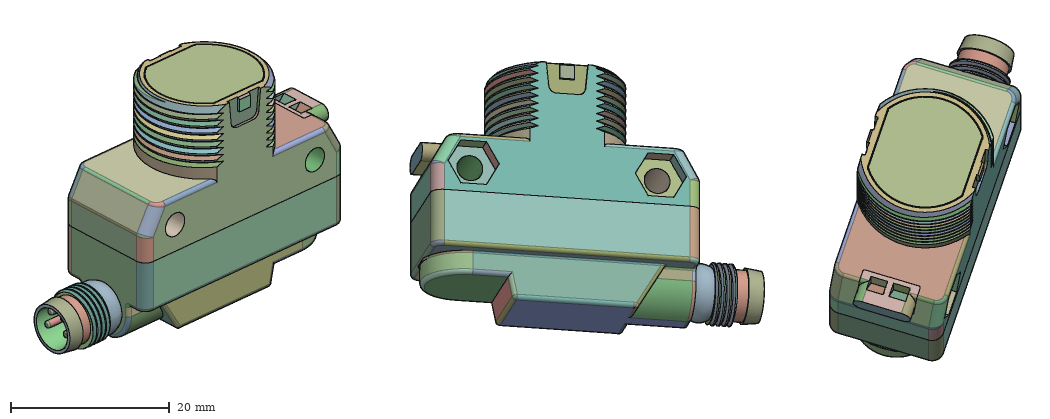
import cadquery as cq
WIDTH = 15.0
LENGTH = 34.57
ROOF_Z = 20.9
SPLIT_Z = 13.2
LOWER_EDGE_Z = 5.9
SLOPE_START_Z = 17.05
SLOPE_RUN = 2.1
SLOPE_BLEND = 0.65
CORNER_RADIUS = 1.5
ROOF_EDGE_RADIUS = 0.55
LOWER_EDGE_RADIUS = 0.55
HALF_LENGTH = LENGTH / 2

TOP_Z = 31.1
BARREL_RADIUS = 8.9
BARREL_CHAMFER = 0.75
BARREL_THREAD_DEPTH = 0.55
BARREL_THREAD_START_Z = 22.1
BARREL_THREAD_TURNS = 9
BARREL_PITCH = (TOP_Z - BARREL_THREAD_START_Z) / BARREL_THREAD_TURNS

KEY_DEPTH = 0.4
KEY_HEIGHT = 4.05
KEY_TOP_HALF_WIDTH = 2.7
KEY_BOTTOM_HALF_WIDTH = 2.3
KEY_CORNER_RADIUS = 1.0
TAB_WIDTH = 1.85
TAB_HEIGHT = 2.05
TAB_CHAMFER = 0.25

HOLE_SPACING = 24.1
HOLE_Z = 17.05
HOLE_DIAMETER = 3.3
NUT_CORNER_DIAMETER = 6.55
NUT_POCKET_DEPTH = 2.35

LENS_RADIUS = 7.45
LENS_HALF_WIDTH = 6.17
LENS_THICKNESS = 1.32
LENS_GAP = 0.15

INDICATOR_WIDTH = 7.6
INDICATOR_HEIGHT = 2.43
INDICATOR_FRONT_Y = 13.63
INDICATOR_BACK_Y = 17.85
SEAT_CORNER_RADIUS = 0.25
LIGHT_WIDTH = 2.2
LIGHT_LENGTH = 1.9
LIGHT_SPACING = 3.0
LIGHT_FRONT_Y = 14.25
LIGHT_DEPTH = 2.25

BASE_WIDTH = 11.1
FLANGE_Z = 2.95
STEP_TOP_Y = 7.1
STEP_BOTTOM_Y = 6.5
RAMP_TOP_Y = -13.1
RAMP_BOTTOM_Y = -9.53
BASE_EDGE_RADIUS = 0.57
RAMP_SIDE_RADIUS = 0.45
ROOT_RADIUS = 0.2

AXIS_Z = 4.3
COLLAR_RADIUS = 4.5
CONNECTOR_END_Y = -26.25
BULGE_END_Y = -19.9
THREAD_END_Y = -22.65
BARB_Y = -24.2
NECK_RADIUS = 3.3
BULGE_RADIUS = 3.75
BARB_RADIUS = 3.57
PLUG_THREAD_RADIUS = 3.95
PLUG_PITCH = 0.75
PLUG_THREAD_DEPTH = 0.45
BORE_RADIUS = 2.85
BORE_DEPTH = 4.4
PIN_RADIUS = 0.5
PIN_TIP_RADIUS = 0.25
PIN_RECESS = 0.65
PIN_PLACES = [(-1.15, 1.7), (1.15, 1.7), (-1.7, -0.4), (1.7, -0.4)]

THREAD_CREST = 0.1
OVERLAP = 0.45
SELECT_MARGIN = 0.05


def thread_groove(radius, depth, pitch, height):
    """Helical V-shaped cutter around +Z, starting at Z = 0."""
    reach = radius + THREAD_CREST
    mouth = (pitch - THREAD_CREST) / 2
    path = cq.Workplane(obj=cq.Wire.makeHelix(pitch, height, radius))
    profile = cq.Workplane("XZ").polyline([(radius - depth, 0), (reach, mouth), (reach, -mouth)]).close()
    return profile.sweep(path, isFrenet=True)


def housing_block():
    """Full block outline, from its lower edge to its roof."""
    block = (
        cq.Workplane("YZ")
        .moveTo(-HALF_LENGTH, LOWER_EDGE_Z)
        .lineTo(HALF_LENGTH, LOWER_EDGE_Z)
        .lineTo(HALF_LENGTH, SLOPE_START_Z)
        .lineTo(HALF_LENGTH - SLOPE_RUN, ROOF_Z)
        .lineTo(SLOPE_RUN - HALF_LENGTH, ROOF_Z)
        .lineTo(-HALF_LENGTH, SLOPE_START_Z)
        .close()
        .extrude(WIDTH / 2, both=True)
    )
    slope_feet = cq.selectors.BoxSelector(
        (-WIDTH, -LENGTH, SLOPE_START_Z - OVERLAP), (WIDTH, LENGTH, SLOPE_START_Z + OVERLAP)
    )
    block = block.edges("|X").edges(slope_feet).fillet(SLOPE_BLEND)
    block = block.edges("<X or >X").edges("not(<Z or >Z)").fillet(CORNER_RADIUS)
    return block.faces(">Z").edges().fillet(ROOF_EDGE_RADIUS)


def slab(bottom_z, top_z):
    """Wide slab that keeps only what lies between two heights."""
    return cq.Workplane("XY", origin=(0, 0, bottom_z)).rect(2 * LENGTH, 2 * LENGTH).extrude(top_z - bottom_z)


def window(radius, half_width):
    """Round disc with two flats, hanging down from the barrel top."""
    disc = cq.Workplane("XY", origin=(0, 0, TOP_Z)).circle(radius).extrude(-LENS_THICKNESS)
    return disc.intersect(cq.Workplane("XY").box(2 * half_width, 2 * radius, 4 * TOP_Z))


def threaded_barrel():
    """Chamfered barrel with a helical thread and two flats flush with the housing sides."""
    bottom_z = ROOF_Z - 2 * ROOF_EDGE_RADIUS
    barrel = cq.Workplane("XY", origin=(0, 0, bottom_z)).circle(BARREL_RADIUS).extrude(TOP_Z - bottom_z)
    barrel = barrel.faces(">Z").chamfer(BARREL_CHAMFER)
    height = TOP_Z - BARREL_THREAD_START_Z + BARREL_PITCH
    groove = thread_groove(BARREL_RADIUS, BARREL_THREAD_DEPTH, BARREL_PITCH, height)
    barrel = barrel.cut(groove.translate((0, 0, BARREL_THREAD_START_Z)))
    return barrel.intersect(cq.Workplane("XY").box(WIDTH, 3 * BARREL_RADIUS, 4 * TOP_Z))


def key_recess():
    """Tapered recess on the -X barrel flat, around a chamfered tab that is left standing."""
    floor_x = KEY_DEPTH - WIDTH / 2
    recess = (
        cq.Workplane("YZ", origin=(floor_x, 0, TOP_Z))
        .polyline([
            (-KEY_TOP_HALF_WIDTH, 0),
            (KEY_TOP_HALF_WIDTH, 0),
            (KEY_BOTTOM_HALF_WIDTH, -KEY_HEIGHT),
            (-KEY_BOTTOM_HALF_WIDTH, -KEY_HEIGHT),
        ])
        .close()
        .extrude(-KEY_DEPTH)
        .edges("|X and <Z")
        .fillet(KEY_CORNER_RADIUS)
    )
    tab = cq.Workplane("XY").box(KEY_DEPTH, TAB_WIDTH, TAB_HEIGHT, centered=(False, True, False))
    tab = tab.edges("<X and >Z").chamfer(TAB_CHAMFER)
    return recess.cut(tab.translate((-WIDTH / 2, 0, TOP_Z - TAB_HEIGHT)))


def mounting_holes():
    """Cross holes with a hexagonal nut pocket on the -X side."""
    places = [(-HOLE_SPACING / 2, 0), (HOLE_SPACING / 2, 0)]
    side = cq.Workplane("YZ", origin=(-WIDTH / 2, 0, HOLE_Z)).pushPoints(places)
    holes = side.circle(HOLE_DIAMETER / 2).extrude(WIDTH)
    nuts = side.polygon(6, NUT_CORNER_DIAMETER).extrude(NUT_POCKET_DEPTH)
    return holes.union(nuts)


def make_lens():
    return window(LENS_RADIUS, LENS_HALF_WIDTH)


def indicator_shape(block):
    """Rounded bar behind the housing, with a square seat flush with the roof."""
    middle_z = ROOF_Z - INDICATOR_HEIGHT / 2
    length = INDICATOR_BACK_Y - INDICATOR_FRONT_Y
    seat = (
        cq.Workplane("XY", origin=(0, INDICATOR_FRONT_Y + length / 2, middle_z))
        .box(INDICATOR_WIDTH, length, INDICATOR_HEIGHT)
        .edges("|Z and <Y")
        .fillet(SEAT_CORNER_RADIUS)
        .intersect(block)
    )
    bar_length = length - SEAT_CORNER_RADIUS
    bar = (
        cq.Workplane("XZ", origin=(0, INDICATOR_BACK_Y, middle_z))
        .slot2D(INDICATOR_WIDTH, INDICATOR_HEIGHT)
        .extrude(bar_length)
    )
    return seat.union(bar)


def make_indicator(block):
    """Indicator with two light pockets whose floors slope down toward -Y."""
    indicator = indicator_shape(block)
    for side in (-1, 1):
        pocket = (
            cq.Workplane("YZ", origin=(side * LIGHT_SPACING / 2, LIGHT_FRONT_Y, ROOF_Z))
            .polyline([(0, 0), (LIGHT_LENGTH, 0), (0, -LIGHT_DEPTH)])
            .close()
            .extrude(LIGHT_WIDTH / 2, both=True)
        )
        indicator = indicator.cut(pocket)
    return indicator


def make_upper_housing(block):
    upper = block.intersect(slab(SPLIT_Z, TOP_Z)).union(threaded_barrel())
    recess = key_recess()
    upper = upper.cut(recess).cut(recess.mirror("YZ"))
    upper = upper.cut(mounting_holes())
    upper = upper.cut(window(LENS_RADIUS + LENS_GAP, LENS_HALF_WIDTH + LENS_GAP))
    return upper.cut(indicator_shape(block))


def base_block():
    """Stepped block with a round back end, a sloped front end and a flared root."""
    profile = (
        cq.Workplane("YZ")
        .polyline([
            (HALF_LENGTH, SPLIT_Z),
            (HALF_LENGTH, FLANGE_Z),
            (STEP_TOP_Y, FLANGE_Z),
            (STEP_BOTTOM_Y, 0),
            (RAMP_BOTTOM_Y, 0),
            (RAMP_TOP_Y, LOWER_EDGE_Z),
            (RAMP_TOP_Y, SPLIT_Z),
        ])
        .close()
        .extrude(BASE_WIDTH / 2, both=True)
    )
    round_center_y = HALF_LENGTH - BASE_WIDTH / 2
    footprint = (
        cq.Workplane("XY")
        .moveTo(-BASE_WIDTH / 2, -HALF_LENGTH)
        .lineTo(BASE_WIDTH / 2, -HALF_LENGTH)
        .lineTo(BASE_WIDTH / 2, round_center_y)
        .threePointArc((0, HALF_LENGTH), (-BASE_WIDTH / 2, round_center_y))
        .close()
        .extrude(SPLIT_Z)
    )
    base = profile.intersect(footprint)
    below_flange = cq.selectors.BoxSelector((-WIDTH, -LENGTH, -OVERLAP), (WIDTH, LENGTH, FLANGE_Z + OVERLAP))
    base = base.edges(below_flange).edges("not (|X or |Y or %CIRCLE)").edges("<Y").fillet(RAMP_SIDE_RADIUS)
    behind_ramp = cq.selectors.BoxSelector(
        (-WIDTH, RAMP_BOTTOM_Y - SELECT_MARGIN, -OVERLAP), (WIDTH, LENGTH, FLANGE_Z + OVERLAP)
    )
    side_edges = base.edges(behind_ramp).edges("not |X").vals()
    foot_ends = base.edges("|X and <Z").vals()
    base = base.newObject(side_edges + foot_ends).fillet(BASE_EDGE_RADIUS)
    root = cq.selectors.BoxSelector(
        (-WIDTH, -LENGTH, LOWER_EDGE_Z - SELECT_MARGIN), (WIDTH, LENGTH, LOWER_EDGE_Z + SELECT_MARGIN)
    )
    base = base.intersect(slab(0, LOWER_EDGE_Z)).union(slab(LOWER_EDGE_Z, SPLIT_Z))
    base = base.edges(root).fillet(ROOT_RADIUS).intersect(slab(0, LOWER_EDGE_Z))
    return base.intersect(cq.Workplane("XY").box(WIDTH, LENGTH, 4 * LOWER_EDGE_Z))


def collar():
    """U-shaped collar behind the connector, flat at its underside."""
    back_y = RAMP_BOTTOM_Y + 2 * BASE_EDGE_RADIUS
    length = back_y + HALF_LENGTH
    plane = cq.Workplane("XZ", origin=(0, back_y, AXIS_Z))
    shape = plane.circle(COLLAR_RADIUS).extrude(length)
    wall = plane.rect(2 * COLLAR_RADIUS, 2 * COLLAR_RADIUS).extrude(length)
    shape = shape.union(wall.intersect(slab(AXIS_Z, SPLIT_Z)))
    return shape.intersect(slab(0, SPLIT_Z))


def make_lower_housing(block):
    lower = block.intersect(slab(LOWER_EDGE_Z, SPLIT_Z))
    lower = lower.union(collar().intersect(slab(0, LOWER_EDGE_Z)))
    reach = COLLAR_RADIUS + OVERLAP
    collar_joints = cq.selectors.BoxSelector(
        (-reach, -LENGTH, LOWER_EDGE_Z - OVERLAP), (reach, 0, LOWER_EDGE_Z + OVERLAP)
    )
    lower = lower.edges("|Y").edges(collar_joints).fillet(ROOT_RADIUS)
    front_edges = lower.faces("<Y").edges("not (|Z or >Z)")
    lower = front_edges.fillet(LOWER_EDGE_RADIUS)
    return lower.union(base_block())


def plug_thread():
    """Threaded ring around the plug axis."""
    length = BULGE_END_Y - THREAD_END_Y
    plane = cq.Workplane("XZ", origin=(0, BULGE_END_Y, 0))
    ring = plane.circle(PLUG_THREAD_RADIUS).circle(BORE_RADIUS).extrude(length)
    groove = thread_groove(PLUG_THREAD_RADIUS, PLUG_THREAD_DEPTH, PLUG_PITCH, length + 2 * PLUG_PITCH)
    groove = groove.rotate((0, 0, 0), (1, 0, 0), 90)
    return ring.cut(groove.translate((0, BULGE_END_Y + PLUG_PITCH / 2, 0)))


def make_connector():
    """Hollow threaded plug with four pins, pointing along -Y."""
    front = -HALF_LENGTH
    outline = (
        cq.Workplane("XY")
        .moveTo(0, front)
        .lineTo(NECK_RADIUS, front)
        .threePointArc((BULGE_RADIUS, (front + BULGE_END_Y) / 2), (NECK_RADIUS, BULGE_END_Y))
        .lineTo(NECK_RADIUS, BARB_Y)
        .lineTo(BARB_RADIUS, BARB_Y)
        .lineTo(NECK_RADIUS, CONNECTOR_END_Y)
        .lineTo(BORE_RADIUS, CONNECTOR_END_Y)
        .lineTo(BORE_RADIUS, CONNECTOR_END_Y + BORE_DEPTH)
        .lineTo(0, CONNECTOR_END_Y + BORE_DEPTH)
        .close()
    )
    plug = outline.revolve(360, (0, 0, 0), (0, 1, 0))
    plug = plug.union(plug_thread())
    tip_y = CONNECTOR_END_Y + PIN_RECESS
    floor_y = CONNECTOR_END_Y + BORE_DEPTH + OVERLAP
    pins = (
        cq.Workplane("XZ", origin=(0, floor_y, 0))
        .pushPoints(PIN_PLACES)
        .circle(PIN_RADIUS)
        .extrude(floor_y - tip_y)
        .faces("<Y")
        .edges()
        .fillet(PIN_TIP_RADIUS)
    )
    return plug.union(pins).translate((0, 0, AXIS_Z))


block = housing_block()
upper_housing = make_upper_housing(block)
lower_housing = make_lower_housing(block)
lens = make_lens()
indicator = make_indicator(block)
connector = make_connector()

result = cq.Compound.makeCompound([
    upper_housing.val(),
    lower_housing.val(),
    lens.val(),
    indicator.val(),
    connector.val(),
])